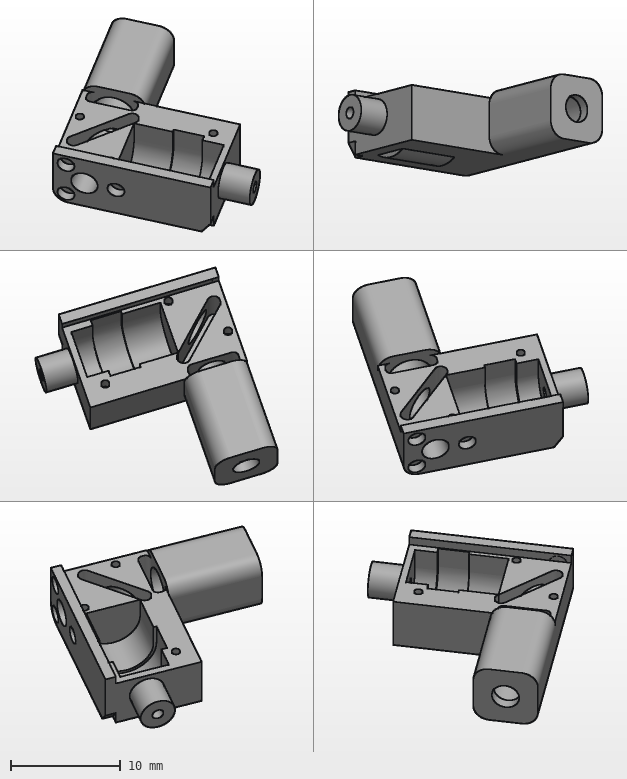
import cadquery as cq

length = 15.0
depth = 9.3
height = 6.0
shelf_height = 5.12
wall_thickness = 1.0
edge_radius = 1.5
axis_z = height / 2

arm_width = 6.0
arm_length = 9.0
arm_x = arm_width / 2

barrel_y = 4.0
boss_radius = 1.67
boss_length = 3.0
boss_bore_radius = 0.53
bulge_radius = 3.5
bulge_start = 7.28
bulge_end = 13.29

cavity_steps = [(5.73, 9.4, 2.6), (9.4, 12.3, 2.9), (12.3, 14.35, 2.35)]

passage_radius = 1.26
arm_bore_radius = 2.0
arm_bore_depth = 8.0

pin_x = 1.25
pin_spacing = 3.75
pin_points = [
    (pin_x, axis_z + pin_spacing / 2),
    (pin_x, axis_z - pin_spacing / 2),
    (2 * arm_x, axis_z),
]
pin_radius = 0.8
pin_depth = 0.9

screw_points = [(0.75, 6.0), (13.0, 7.5), (5.0, 1.5)]
screw_radius = 0.38
screw_depth = 1.5

slot_floor = 0.9
mirror_x = 3.24
mirror_y = 5.03
mirror_length = 7.28
mirror_width = 1.25
mirror_angle = 45
window_length = 4.85
window_width = 1.2
window_corner_radius = 0.5

bevel_width = 0.85
bevel_height = 1.26


def cylinder_x(start, end, radius):
    """Cylinder on the barrel axis between two X positions."""
    return (
        cq.Workplane("YZ", origin=(start, barrel_y, axis_z))
        .circle(radius)
        .extrude(end - start)
    )


def cylinder_y(x, z, start, end, radius):
    """Cylinder parallel to Y between two Y positions."""
    return cq.Workplane("XZ", origin=(x, start, z)).circle(radius).extrude(start - end)


def make_block():
    block = cq.Workplane().box(length, depth, height, centered=False)
    block = block.edges("|Y and <X and <Z").fillet(edge_radius)
    recess = (
        cq.Workplane(origin=(0, wall_thickness, shelf_height))
        .box(length, depth - wall_thickness, height - shelf_height, centered=False)
    )
    return block.cut(recess)


def make_arm():
    return (
        cq.Workplane(origin=(0, depth, 0))
        .box(arm_width, arm_length, height, centered=False)
        .edges("|Y")
        .fillet(edge_radius)
    )


def make_cavity_step(start, end, radius):
    """Round-bottomed trough that opens straight up through the shelf."""
    opening = (
        cq.Workplane(origin=(start, barrel_y - radius, axis_z))
        .box(end - start, 2 * radius, shelf_height - axis_z, centered=False)
    )
    lower_half = cylinder_x(start, end, radius).intersect(
        cq.Workplane().box(length, depth, axis_z, centered=False)
    )
    return lower_half.union(opening)


def make_mirror_slot():
    return (
        cq.Workplane(origin=(mirror_x, mirror_y, slot_floor))
        .slot2D(mirror_length, mirror_width, mirror_angle)
        .extrude(shelf_height - slot_floor)
    )


def make_window_slot():
    return (
        cq.Workplane(origin=(arm_x, depth - window_width / 2, slot_floor))
        .rect(window_length, window_width)
        .extrude(shelf_height - slot_floor)
        .edges("|Z")
        .fillet(window_corner_radius)
    )


def make_bevel():
    return (
        cq.Workplane("XZ")
        .moveTo(length - bevel_width, 0)
        .lineTo(length, 0)
        .lineTo(length, bevel_height)
        .close()
        .extrude(-wall_thickness)
    )


result = make_block().union(make_arm())
result = result.union(cylinder_x(bulge_start, bulge_end, bulge_radius).intersect(
    cq.Workplane(origin=(0, 0, axis_z - bulge_radius))
    .box(length, depth, bulge_radius, centered=False)
))
result = result.union(cylinder_x(cavity_steps[-1][1], length + boss_length, boss_radius))

for step in cavity_steps:
    result = result.cut(make_cavity_step(*step))
result = result.cut(cylinder_x(cavity_steps[-1][1], length + boss_length, boss_bore_radius))

result = result.cut(make_mirror_slot()).cut(make_window_slot())
result = result.cut(cylinder_y(arm_x, axis_z, 0, depth + arm_length, passage_radius))
result = result.cut(cylinder_y(arm_x, axis_z, depth, depth + arm_bore_depth, arm_bore_radius))

for x, z in pin_points:
    result = result.cut(cylinder_y(x, z, 0, pin_depth, pin_radius))
screw_holes = (
    cq.Workplane(origin=(0, 0, shelf_height))
    .pushPoints(screw_points)
    .circle(screw_radius)
    .extrude(-screw_depth)
)
result = result.cut(screw_holes).cut(make_bevel())